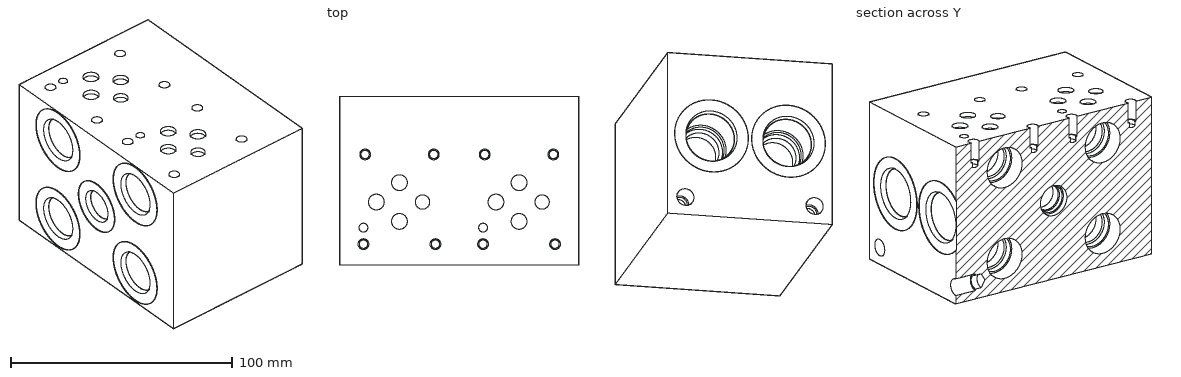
import cadquery as cq
import math

LENGTH = 108.0
DEPTH = 76.2
HEIGHT = 76.2
CUT_MARGIN = 1.1
TIP_HALF_ANGLE = math.radians(59)

STATION_PITCH = 54.0
STATION_X = (-STATION_PITCH / 2, STATION_PITCH / 2)
WORK_PORT_Z = 22.0
SUPPLY_PORT_Y = 17.8

SPOT_DEPTH = 0.3
SEAT_DEPTH = 2.8
WORK_PORT = dict(spot=30.7, seat=20.4, seat_end=19.2, thread=19.0, tap_drill=17.5, passage=15.9,
                 thread_depth=16.2, drill_depth=19.4, passage_depth=24.8)
SUPPLY_PORT = dict(spot=34.1, seat=23.7, seat_end=22.6, thread=22.2, tap_drill=20.4, passage=17.5,
                   thread_depth=19.4, drill_depth=22.7, passage_depth=30.2)
GAUGE_PORT = dict(spot=25.3, seat=15.5, seat_end=14.6, thread=14.2, tap_drill=13.0, passage=12.0,
                  thread_depth=10.8, drill_depth=13.0, passage_depth=17.3)

MOUNT_THREAD, MOUNT_DRILL = 7.9, 6.5
MOUNT_THREAD_DEPTH, MOUNT_DRILL_DEPTH = 10.8, 14.0
MOUNT_OFFSET = 29.9

BOLT_THREAD, BOLT_DRILL = 4.9, 3.8
BOLT_THREAD_DEPTH, BOLT_DRILL_DEPTH = 9.7, 11.9
REAR_BOLT_Y = 11.9
REAR_BOLT_SPAN = 31.0
BOLT_ROW_PITCH = 40.5
FRONT_BOLT_Y = REAR_BOLT_Y - BOLT_ROW_PITCH
FRONT_BOLT_SPAN = 32.5
OIL_HOLE, SMALL_OIL_HOLE = 7.1, 6.5
OIL_HOLE_DEPTH = 2.0
REAR_BOLT_TO_OIL = 21.5
OIL_CENTER_Y = REAR_BOLT_Y - REAR_BOLT_TO_OIL
OIL_SPAN_X = 20.8
OIL_SPAN_Y = 17.5
PIN_HOLE, PIN_DEPTH = 4.0, 4.3
REAR_BOLT_TO_PIN = 33.0
PIN_Y = REAR_BOLT_Y - REAR_BOLT_TO_PIN


def tip_length(radius):
    """Length of a drill point of the given radius."""
    return radius / math.tan(TIP_HALF_ANGLE)


def turned_cutter(profile):
    """Solid of revolution about Z going down from z = 0, from (radius, depth) points."""
    first_radius = profile[0][0]
    last_radius, last_depth = profile[-1]
    points = [(0, CUT_MARGIN), (first_radius, CUT_MARGIN)]
    points += [(radius, -depth) for radius, depth in profile]
    points.append((0, -last_depth - tip_length(last_radius)))
    return cq.Workplane("XZ").polyline(points).close().revolve(360, (0, 0), (0, 1))


def blind_hole(diameter, depth):
    """Plain drilled hole with a conical bottom."""
    return turned_cutter([(diameter / 2, depth)])


def tapped_hole(thread, drill, thread_depth, drill_depth):
    """Thread bore followed by the narrower tap drill."""
    return turned_cutter([
        (thread / 2, thread_depth),
        (drill / 2, thread_depth),
        (drill / 2, drill_depth),
    ])


def port_hole(spot, seat, seat_end, thread, tap_drill, passage,
              thread_depth, drill_depth, passage_depth):
    """Screw-in port; all depths are measured from the block face."""
    drill_cone = tip_length(tap_drill / 2) - tip_length(passage / 2)
    return turned_cutter([
        (spot / 2, SPOT_DEPTH),
        (seat / 2, SPOT_DEPTH),
        (seat_end / 2, SEAT_DEPTH),
        (thread / 2, SEAT_DEPTH),
        (thread / 2, thread_depth),
        (tap_drill / 2, thread_depth),
        (tap_drill / 2, drill_depth),
        (passage / 2, drill_depth + drill_cone),
        (passage / 2, passage_depth),
    ])


def on_top(cutter, x, y):
    """Place the cutter in the +Z face."""
    return cutter.translate((x, y, HEIGHT / 2))


def on_front(cutter, x, z):
    """Aim the cutter into the -Y face."""
    return cutter.rotate((0, 0, 0), (1, 0, 0), 90).translate((x, -DEPTH / 2, z))


def on_left(cutter, y, z):
    """Aim the cutter into the -X face."""
    return cutter.rotate((0, 0, 0), (0, 1, 0), -90).translate((-LENGTH / 2, y, z))


def station_cutters(station_x):
    """All holes of one valve station on the top face."""
    bolt = tapped_hole(BOLT_THREAD, BOLT_DRILL, BOLT_THREAD_DEPTH, BOLT_DRILL_DEPTH)
    oil = blind_hole(OIL_HOLE, OIL_HOLE_DEPTH)
    small_oil = blind_hole(SMALL_OIL_HOLE, OIL_HOLE_DEPTH)
    pin = blind_hole(PIN_HOLE, PIN_DEPTH)
    cutters = [
        on_top(oil, station_x - OIL_SPAN_X / 2, OIL_CENTER_Y),
        on_top(small_oil, station_x + OIL_SPAN_X / 2, OIL_CENTER_Y),
        on_top(pin, station_x - FRONT_BOLT_SPAN / 2, PIN_Y),
    ]
    for side in (-1, 1):
        cutters.append(on_top(oil, station_x, OIL_CENTER_Y + side * OIL_SPAN_Y / 2))
        cutters.append(on_top(bolt, station_x + side * REAR_BOLT_SPAN / 2, REAR_BOLT_Y))
        cutters.append(on_top(bolt, station_x + side * FRONT_BOLT_SPAN / 2, FRONT_BOLT_Y))
    return cutters


def front_cutters():
    """A and B ports of both stations, and the central gauge port."""
    work_port = port_hole(**WORK_PORT)
    cutters = [on_front(port_hole(**GAUGE_PORT), 0, 0)]
    for x in STATION_X:
        for z in (-WORK_PORT_Z, WORK_PORT_Z):
            cutters.append(on_front(work_port, x, z))
    return cutters


def left_cutters():
    """T and P ports with the two mounting holes below them."""
    supply_port = port_hole(**SUPPLY_PORT)
    mount = tapped_hole(MOUNT_THREAD, MOUNT_DRILL, MOUNT_THREAD_DEPTH, MOUNT_DRILL_DEPTH)
    cutters = []
    for side in (-1, 1):
        cutters.append(on_left(supply_port, side * SUPPLY_PORT_Y, 0))
        cutters.append(on_left(mount, side * MOUNT_OFFSET, -MOUNT_OFFSET))
    return cutters


cutters = front_cutters() + left_cutters()
for station in STATION_X:
    cutters += station_cutters(station)

result = cq.Workplane("XY").box(LENGTH, DEPTH, HEIGHT)
for cutter in cutters:
    result = result.cut(cutter)